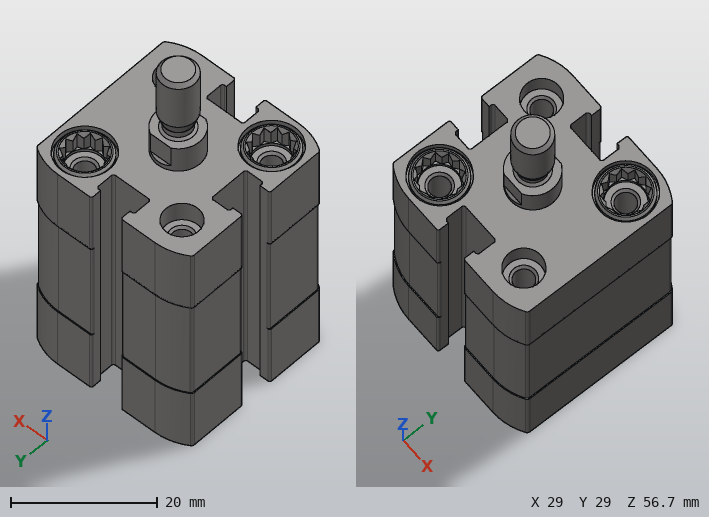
import cadquery as cq
import math

width = 29.0
cap_height = 11.0
housing_height = 40.0
tube_inset = 0.15
corner_radius = 9.65
edge_fillet = 0.6
bolt_offset = 9.0

slot_mouth = 5.45
slot_mouth_radius = 0.35
slot_width = 6.9
slot_inner_radius = 0.4
slot_floor = 9.3
lip_inner = 12.65
slot_angles = (0, 90, 180)

through_diameter = 3.25
countersink_diameter = 4.0
bore_diameter = 6.0
bore_depth = 3.45

groove_diameter = 9.2
groove_depth = 1.0
boss_diameter = 8.5
boss_chamfer = 0.4
spline_points = 12
spline_depth = 2.95
spline_root_radius = 3.5
socket_mouth_radius = 3.65
socket_lead_in = 0.75

overall_height = 56.7
collar_diameter = 8.0
collar_height = 4.7
flats_width = 7.05
flats_length = 3.7
flats_run_out = 0.3
neck_diameter = 4.5
neck_flare_height = 0.35
neck_flare_width = 0.45
neck_top = 46.05
neck_step = 0.15
thread_diameter = 6.0
thread_bottom = 48.0
tip_chamfer_height = 0.7
tip_chamfer_width = 0.6


def slot_cutter(half, bottom, height):
    """T-slot opening in the +Y face of a section whose faces lie at +-half."""
    mouth = slot_mouth / 2
    flare = mouth + slot_mouth_radius
    shoulder = half - slot_mouth_radius
    opening = (
        cq.Workplane("XY", origin=(0, 0, bottom))
        .moveTo(-mouth, slot_floor)
        .lineTo(mouth, slot_floor)
        .lineTo(mouth, shoulder)
        .radiusArc((flare, half), slot_mouth_radius)
        .lineTo(-flare, half)
        .radiusArc((-mouth, shoulder), slot_mouth_radius)
        .close()
        .extrude(height)
    )
    chamber = (
        cq.Workplane("XY", origin=(0, (slot_floor + lip_inner) / 2, bottom))
        .rect(slot_width, lip_inner - slot_floor)
        .extrude(height)
        .edges("|Z")
        .fillet(slot_inner_radius)
    )
    return opening.union(chamber)


def housing_section(half, bottom, height):
    """Length of the slotted body with its outer faces at +-half."""
    radius = corner_radius - (width / 2 - half)
    sweep = math.asin((half - bolt_offset) / radius)
    centre = half - radius

    def on_corner(angle):
        return bolt_offset + radius * math.sin(angle), centre + radius * math.cos(angle)

    mid_x, mid_y = on_corner(sweep / 2)
    end_x, end_y = on_corner(sweep)
    section = (
        cq.Workplane("XY", origin=(0, 0, bottom))
        .moveTo(-bolt_offset, half)
        .lineTo(bolt_offset, half)
        .threePointArc((mid_x, mid_y), (end_x, end_y))
        .lineTo(end_x, -end_y)
        .threePointArc((mid_x, -mid_y), (bolt_offset, -half))
        .lineTo(-bolt_offset, -half)
        .threePointArc((-mid_x, -mid_y), (-end_x, -end_y))
        .lineTo(-end_x, end_y)
        .threePointArc((-mid_x, mid_y), (-bolt_offset, half))
        .close()
        .extrude(height)
        .edges("|Z and (>X or <X)")
        .fillet(edge_fillet)
    )
    cutter = slot_cutter(half, bottom, height)
    for angle in slot_angles:
        section = section.cut(cutter.rotate((0, 0, 0), (0, 0, 1), angle))
    return section


def bolt_hole_cutter():
    """Stepped through hole, on the Z axis."""
    floor = housing_height - bore_depth
    through = through_diameter / 2
    countersink = countersink_diameter / 2
    bore = bore_diameter / 2
    return (
        cq.Workplane("XZ")
        .polyline([
            (0, 0),
            (through, 0),
            (through, floor - (countersink - through)),
            (countersink, floor),
            (bore, floor),
            (bore, housing_height),
            (0, housing_height),
        ])
        .close()
        .revolve(360, (0, 0), (0, 1))
    )


def socket_cutter():
    """Ring groove, conical lead-in and splines of one socket, on the Z axis."""
    groove_floor = housing_height - groove_depth
    boss = boss_diameter / 2
    groove = (
        cq.Workplane("XZ")
        .polyline([
            (boss, groove_floor),
            (groove_diameter / 2, groove_floor),
            (groove_diameter / 2, housing_height),
            (boss - boss_chamfer, housing_height),
            (boss, housing_height - boss_chamfer),
        ])
        .close()
        .revolve(360, (0, 0), (0, 1))
    )
    lead_in = (
        cq.Workplane("XZ")
        .polyline([
            (0, housing_height),
            (socket_mouth_radius, housing_height),
            (bore_diameter / 2, housing_height - socket_lead_in),
            (0, housing_height - socket_lead_in),
        ])
        .close()
        .revolve(360, (0, 0), (0, 1))
    )
    half_pitch = math.pi / spline_points
    star = []
    for i in range(2 * spline_points):
        radius = bore_diameter / 2 if i % 2 else spline_root_radius
        star.append((radius * math.cos(i * half_pitch), radius * math.sin(i * half_pitch)))
    splines = (
        cq.Workplane("XY", origin=(0, 0, housing_height - spline_depth))
        .polyline(star)
        .close()
        .extrude(spline_depth)
    )
    return groove.union(lead_in).union(splines)


def make_housing():
    tube_height = housing_height - 2 * cap_height
    half = width / 2
    housing = housing_section(half, 0, cap_height)
    housing = housing.union(housing_section(half - tube_inset, cap_height, tube_height))
    housing = housing.union(housing_section(half, housing_height - cap_height, cap_height))

    for side_x in (-1, 1):
        for side_y in (-1, 1):
            place = (side_x * bolt_offset, side_y * bolt_offset, 0)
            housing = housing.cut(bolt_hole_cutter().translate(place))
            if side_x == side_y:
                housing = housing.cut(socket_cutter().translate(place))
    return housing


def flat_cutter():
    """Wrench flat on the +Y side of the collar, with a sloped ledge below it."""
    collar_top = housing_height + collar_height
    ledge = collar_top - flats_length
    flat = flats_width / 2
    outside = collar_diameter / 2
    return (
        cq.Workplane("YZ")
        .polyline([
            (flat, collar_top),
            (flat, ledge),
            (outside, ledge - flats_run_out),
            (outside, collar_top),
        ])
        .close()
        .extrude(outside, both=True)
    )


def make_rod():
    collar = collar_diameter / 2
    collar_top = housing_height + collar_height
    neck = neck_diameter / 2
    thread = thread_diameter / 2
    rod = (
        cq.Workplane("XZ")
        .moveTo(0, housing_height)
        .lineTo(collar, housing_height)
        .lineTo(collar, collar_top)
        .lineTo(neck + neck_flare_width, collar_top)
        .lineTo(neck, collar_top + neck_flare_height)
        .lineTo(neck, neck_top)
        .lineTo(neck + neck_step, neck_top + neck_step)
        .lineTo(thread, thread_bottom)
        .lineTo(thread, overall_height - tip_chamfer_height)
        .lineTo(thread - tip_chamfer_width, overall_height)
        .lineTo(0, overall_height)
        .close()
        .revolve(360, (0, 0), (0, 1))
    )
    for angle in (0, 180):
        rod = rod.cut(flat_cutter().rotate((0, 0, 0), (0, 0, 1), angle))
    return rod


housing = make_housing()
rod = make_rod()

result = cq.Compound.makeCompound([housing.val(), rod.val()])